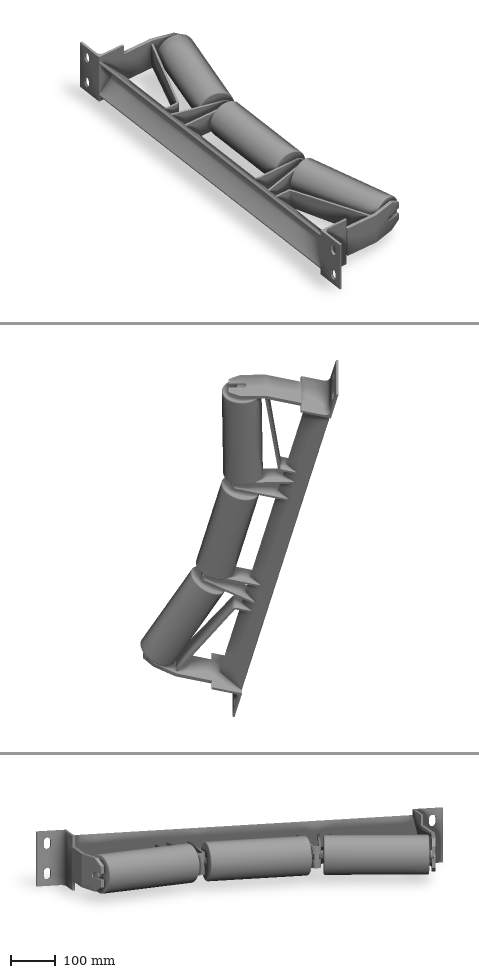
import cadquery as cq
import math


half_length = 475.0
tilt = 15.0

beam_leg = 70.0
beam_thickness = 7.0
beam_root_radius = 9.5
beam_toe_radius = 4.0

foot_leg = 70.0
foot_thickness = 6.0
foot_width = 125.0
foot_root_radius = 11.0
foot_toe_radius = 3.0
foot_slot_width = 16.0
foot_slot_length = 27.0
foot_slot_inset = 25.0
foot_slot_spacing = 69.0

roller_radius = 45.0
roller_length = 237.0
roller_edge_radius = 3.0
support_gap = 249.0
hub_diameter = 21.0
tongue_width = 14.0
middle_roller_y = 136.0
side_roller_x = 271.0
side_roller_y = 171.0

plate_thickness = 5.0
inner_support_width = 50.0
inner_support_top = 161.5
inner_bend_radius = 10.0

arm_thickness = 8.3
arm_width = 77.0
arm_bend_radius = 12.0
arm_tip_y = 234.0
arm_tip_width = 47.5
arm_taper_length = 26.0
strut_top_width = 59.0
strut_foot_width = 47.0
strut_top_y = 154.0
elbow_x = 201.0
elbow_y = 70.0
elbow_bend_radius = 9.5

foot_inner_x = half_length - foot_leg
tilt_sin = math.sin(math.radians(tilt))
tilt_cos = math.cos(math.radians(tilt))
tilt_tan = math.tan(math.radians(tilt))
half_gap = support_gap / 2
shaft_length = support_gap + 2 * plate_thickness
beam_toe_cut = beam_toe_radius * (math.sqrt(2) - 1)
beam_heel_y = (beam_leg + beam_thickness) / math.sqrt(2) - beam_toe_cut


def mirrored(body):
    return body.mirror("YZ")


def on_side_roller(body):
    """Move a body built along X about the origin onto the axis of the right-hand side roller."""
    return body.rotate((0, 0, 0), (0, 0, 1), tilt).translate((side_roller_x, side_roller_y, 0))


def rounded_edge(body, x, y, radius):
    """Fillet the edge along Z nearest to (x, y)."""
    return body.edges("|Z").edges(cq.selectors.NearestToPointSelector((x, y, 0))).fillet(radius)



def angle_profile(workplane, leg, thickness, root_radius, toe_radius):
    """Rolled angle outline: heel at the origin, legs along the local axes."""
    toe_mid = toe_radius * (1 - math.sqrt(0.5))
    root = thickness + root_radius
    root_mid = thickness + root_radius * (1 - math.sqrt(0.5))
    return (
        workplane.moveTo(0, 0)
        .lineTo(leg, 0)
        .lineTo(leg, thickness - toe_radius)
        .threePointArc((leg - toe_mid, thickness - toe_mid), (leg - toe_radius, thickness))
        .lineTo(root, thickness)
        .threePointArc((root_mid, root_mid), (thickness, root))
        .lineTo(thickness, leg - toe_radius)
        .threePointArc((thickness - toe_mid, leg - toe_mid), (thickness - toe_radius, leg))
        .lineTo(0, leg)
        .close()
    )


def make_beam():
    plane = cq.Plane(origin=(-foot_inner_x, beam_heel_y, 0), xDir=(0, -1, 1), normal=(1, 0, 0))
    profile = angle_profile(cq.Workplane(plane), beam_leg, beam_thickness, beam_root_radius, beam_toe_radius)
    return profile.extrude(2 * foot_inner_x)


def make_foot():
    plane = cq.Workplane("XY", origin=(foot_inner_x, 0, -foot_width / 2))
    profile = angle_profile(plane, foot_leg, foot_thickness, foot_root_radius, foot_toe_radius)
    foot = profile.extrude(foot_width)
    slot_x = half_length - foot_slot_inset
    slots = (
        cq.Workplane("XZ")
        .pushPoints([(slot_x, -foot_slot_spacing / 2), (slot_x, foot_slot_spacing / 2)])
        .slot2D(foot_slot_length, foot_slot_width, 90)
        .extrude(-foot_thickness)
    )
    return foot.cut(slots)


def make_frame():
    """Beam and both feet, welded into one body."""
    foot = make_foot()
    return make_beam().union(foot).union(mirrored(foot))



def cylinder(radius, length):
    """Cylinder along X, centred on the origin."""
    return cq.Workplane("YZ", origin=(-length / 2, 0, 0)).circle(radius).extrude(length)


def flatted_shaft(length):
    """Round shaft with two flats, centred on the origin along X."""
    shaft = cylinder(hub_diameter / 2, length)
    return shaft.intersect(cq.Workplane("XY").box(length, hub_diameter, tongue_width))


def make_roller():
    drum = cylinder(roller_radius, roller_length).faces("<X or >X").edges().fillet(roller_edge_radius)
    hubs = cylinder(hub_diameter / 2, support_gap)
    return drum.union(hubs).union(flatted_shaft(shaft_length))


def slot_cutter(length, height):
    """Slot open towards +Y that seats a shaft end, along X about the origin."""
    mouth = cq.Workplane("XY").box(length, height, tongue_width, centered=(True, False, True))
    return flatted_shaft(length).union(mouth)



def side_face_x(y, offset):
    """X at height y of a face square to the right-hand side roller, offset along its axis."""
    return side_roller_x + offset * tilt_cos - (y - side_roller_y - offset * tilt_sin) * tilt_tan


def above_beam():
    """Right-hand half of the region above the two upper faces of the beam."""
    reach = beam_leg
    return (
        cq.Workplane("YZ")
        .polyline([(beam_heel_y, 0), (beam_heel_y - reach, reach), (half_length, reach),
                   (half_length, -reach), (beam_heel_y - reach, -reach)])
        .close()
        .extrude(half_length)
    )


def inner_support_block(inset, bend_radius):
    """Solid U outline between the middle and side rollers, moved inwards by inset."""
    left = half_gap + inset
    top = inner_support_top - inset
    leaning_offset = -half_gap - inset
    block = (
        cq.Workplane("XY")
        .polyline([(left, 0), (side_face_x(0, leaning_offset), 0),
                   (side_face_x(top, leaning_offset), top), (left, top)])
        .close()
        .extrude(inner_support_width / 2, both=True)
    )
    return block.edges("|Z").edges(">Y").fillet(bend_radius)


def make_inner_support():
    shell = inner_support_block(0, inner_bend_radius)
    core = inner_support_block(plate_thickness, inner_bend_radius - plate_thickness)
    support = shell.cut(core).intersect(above_beam())
    slot = slot_cutter(shaft_length, roller_radius)
    return support.cut(slot.translate((0, middle_roller_y, 0))).cut(on_side_roller(slot))



def make_arm():
    inner_bend_y = (side_roller_y + half_gap * tilt_sin
                    + (side_roller_x + half_gap * tilt_cos - foot_inner_x) / tilt_tan)
    outer_bend_y = inner_bend_y + arm_thickness * math.tan(math.radians(tilt / 2))
    outer_x = foot_inner_x + arm_thickness
    rise = arm_tip_y - outer_bend_y
    tip_outer = (outer_x - rise * tilt_tan, arm_tip_y)
    tip_inner = (tip_outer[0] - arm_thickness * tilt_cos, arm_tip_y - arm_thickness * tilt_sin)
    arm = (
        cq.Workplane("XY")
        .polyline([(foot_inner_x, foot_leg), (outer_x, foot_leg), (outer_x, outer_bend_y),
                   tip_outer, tip_inner, (foot_inner_x, inner_bend_y)])
        .close()
        .extrude(arm_width / 2, both=True)
    )
    arm = rounded_edge(arm, outer_x, outer_bend_y, arm_bend_radius)
    arm = rounded_edge(arm, foot_inner_x, inner_bend_y, arm_bend_radius - arm_thickness)
    shoulder_y = arm_tip_y - arm_taper_length
    outline = (
        cq.Workplane("YZ")
        .polyline([(0, -arm_width / 2), (shoulder_y, -arm_width / 2), (arm_tip_y, -arm_tip_width / 2),
                   (arm_tip_y, arm_tip_width / 2), (shoulder_y, arm_width / 2), (0, arm_width / 2)])
        .close()
        .extrude(half_length)
    )
    return arm.intersect(outline)


def make_strut():
    slope = math.atan2(strut_top_y - elbow_y, foot_inner_x - elbow_x)
    drop = plate_thickness / math.cos(slope)
    leg_outer_x = elbow_x + plate_thickness
    inner_elbow_y = elbow_y - drop + plate_thickness * math.tan(slope)
    strut = (
        cq.Workplane("XY")
        .polyline([(elbow_x, 0), (elbow_x, elbow_y), (foot_inner_x, strut_top_y),
                   (foot_inner_x, strut_top_y - drop), (leg_outer_x, inner_elbow_y), (leg_outer_x, 0)])
        .close()
        .extrude(strut_top_width / 2, both=True)
    )
    strut = rounded_edge(strut, elbow_x, elbow_y, elbow_bend_radius)
    strut = rounded_edge(strut, leg_outer_x, inner_elbow_y, elbow_bend_radius - plate_thickness)
    taper = (
        cq.Workplane("XZ")
        .polyline([(elbow_x, strut_foot_width / 2), (leg_outer_x, strut_foot_width / 2),
                   (foot_inner_x, strut_top_width / 2), (foot_inner_x, -strut_top_width / 2),
                   (leg_outer_x, -strut_foot_width / 2), (elbow_x, -strut_foot_width / 2)])
        .close()
        .extrude(-half_length)
    )
    return strut.intersect(taper).intersect(above_beam())


def make_outer_support():
    support = make_arm().union(make_strut())
    through_arm = support_gap + 4 * arm_thickness
    slot = slot_cutter(through_arm, roller_radius + hub_diameter)
    return support.cut(on_side_roller(slot))



frame = make_frame()
roller = make_roller()
middle_roller = roller.translate((0, middle_roller_y, 0))
side_roller = on_side_roller(roller)
inner_support = make_inner_support()
outer_support = make_outer_support()

bodies = [frame.val(), middle_roller.val()]
for body in (side_roller, inner_support, outer_support):
    bodies += [body.val(), mirrored(body).val()]

result = cq.Compound.makeCompound(bodies)